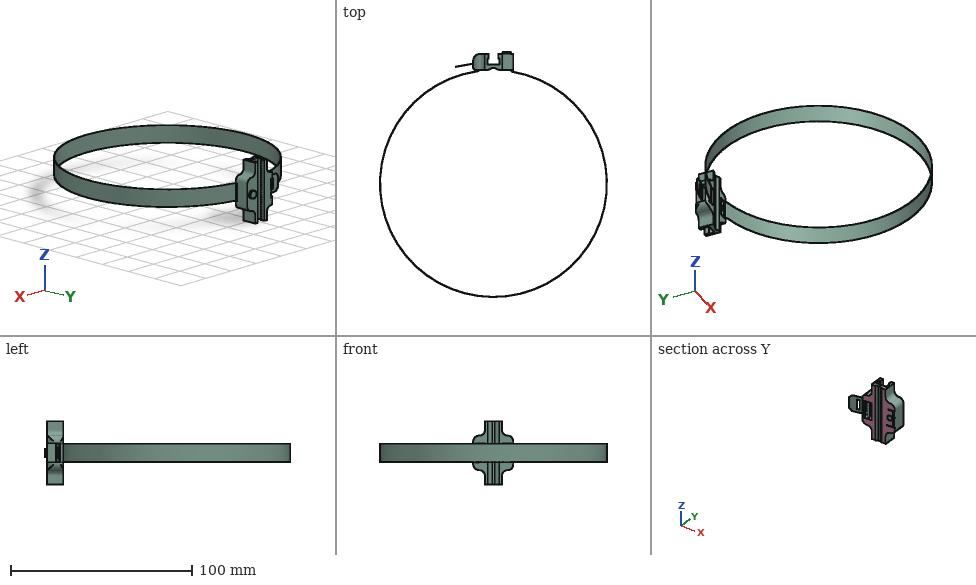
import cadquery as cq
import math

ring_outer_radius = 62.695
strap_thickness = 0.3
strap_width = 10.2
ring_radius = ring_outer_radius - strap_thickness / 2

body_bottom_y = 62.5
body_height_y = 9.0
body_length_z = 35.0
column_half_width = 4.75
body_top_y = body_bottom_y + body_height_y

channel_half_width = 3.25
channel_floor_height = 3.2
lip_gap_half_width = 2.6
lip_bottom_height = 6.4

groove_mouth_half_width = 3.1
groove_top_half_width = 0.6
groove_depth = 1.2

foot_half_length_z = 9.6
web_fillet_radius = 3.0
left_foot_reach = 11.3
left_top_round = 4.0
left_bottom_round = 1.7
right_foot_reach = 10.95

buckle_half_length_z = 5.3
buckle_bar_width = left_bottom_round
buckle_bar_height = 1.6
buckle_roof_height = 4.1
roof_reach = 8.0

fold_radius = 2.25
fold_start_x = -9.1
tail_slope = math.radians(10)
tail_length = 11.15
tail_corner_cut = 1.9
tail_slot_width = 1.65
tail_slot_length = 6.0
tail_slot_pitch = 4.1
tail_slot_count = 2
first_slot_from_end = 5.8

pocket_start_x = 5.1
pocket_end_x = 10.4
pocket_depth = 0.6
pocket_half_length_z = 5.2
bend_radius = 0.55
bend_end_x = 10.4
rivet_x = 7.35
rivet_hole_diameter = 3.2
rivet_shank_diameter = 3.0
rivet_flange_diameter = 4.75
rivet_head_diameter = 4.65
rivet_flange_height = 0.5
overall_length_y = 135.49
rivet_top_y = overall_length_y - ring_outer_radius

pocket_floor_y = body_bottom_y + pocket_depth

fold_angle = math.acos(fold_start_x / ring_radius)
bend_angle = math.acos(bend_end_x / ring_radius)


def box(x_min, x_max, y_min, y_max, length_z):
    """Block centred on Z = 0."""
    return (
        cq.Workplane("XY")
        .box(x_max - x_min, y_max - y_min, length_z)
        .translate(((x_min + x_max) / 2, (y_min + y_max) / 2, 0))
    )


def extrude_profile(points, length_z):
    """Closed polygon in XY, extruded equally to both sides of Z = 0."""
    return cq.Workplane("XY").polyline(points).close().extrude(length_z / 2, both=True)


def y_cylinder(diameter, y_min, y_max):
    """Cylinder along Y on the rivet axis."""
    disc = cq.Workplane("XZ").circle(diameter / 2).extrude(y_min - y_max)
    return disc.translate((rivet_x, y_min, 0))


def curved_band(center, radius, start, end):
    """Strap bent along an arc; start and end are anticlockwise angles from +X."""

    def at(distance, angle):
        x = center[0] + distance * math.cos(angle)
        return (x, center[1] + distance * math.sin(angle))

    outer = radius + strap_thickness / 2
    inner = radius - strap_thickness / 2
    middle = (start + end) / 2
    return (
        cq.Workplane("XY")
        .moveTo(*at(outer, start))
        .threePointArc(at(outer, middle), at(outer, end))
        .lineTo(*at(inner, end))
        .threePointArc(at(inner, middle), at(inner, start))
        .close()
        .extrude(strap_width / 2, both=True)
    )


def foot_outline(reach):
    """Half of the column and one foot seen along Y, on the +X side."""
    web_x = column_half_width + web_fillet_radius
    web_z = foot_half_length_z + web_fillet_radius
    corner_radius = reach - web_x
    corner_z = foot_half_length_z - corner_radius
    web_mid = web_fillet_radius * math.sqrt(0.5)
    corner_mid = corner_radius * math.sqrt(0.5)
    half = (
        cq.Workplane("XZ")
        .lineTo(0, body_length_z / 2)
        .lineTo(column_half_width, body_length_z / 2)
        .lineTo(column_half_width, web_z)
        .threePointArc((web_x - web_mid, web_z - web_mid), (web_x, foot_half_length_z))
        .threePointArc((web_x + corner_mid, corner_z + corner_mid), (reach, corner_z))
        .lineTo(reach, 0)
        .close()
        .extrude(-body_height_y)
        .translate((0, body_bottom_y, 0))
    )
    return half.union(half.mirror("XY"))


def rounded_left_side():
    """Left half of the body seen along Z, with its outer edges rounded."""
    block = box(-left_foot_reach, 0, body_bottom_y, body_top_y, body_length_z)
    block = block.edges("|Z and <X and >Y").fillet(left_top_round)
    return block.edges("|Z and <X and <Y").fillet(left_bottom_round)


def clip_body():
    left = foot_outline(left_foot_reach).mirror("YZ")
    right = foot_outline(right_foot_reach)
    return left.intersect(rounded_left_side()).union(right)


def channel_cut():
    lower = box(
        -channel_half_width, channel_half_width,
        body_bottom_y + channel_floor_height, body_bottom_y + lip_bottom_height, body_length_z,
    )
    mouth = box(
        -lip_gap_half_width, lip_gap_half_width,
        body_bottom_y + lip_bottom_height, body_top_y, body_length_z,
    )
    return lower.union(mouth)


def groove_cut():
    top_y = body_bottom_y + groove_depth
    points = [
        (-groove_mouth_half_width, body_bottom_y),
        (-groove_top_half_width, top_y),
        (groove_top_half_width, top_y),
        (groove_mouth_half_width, body_bottom_y),
    ]
    return extrude_profile(points, body_length_z)


def buckle_cut():
    """Slot from below, a window above the bar and a notch through the foot's top."""
    bar_inner_x = -left_foot_reach + buckle_bar_width
    bar_top_y = body_bottom_y + buckle_bar_height
    roof_y = body_bottom_y + buckle_roof_height
    points = [
        (bar_inner_x, body_bottom_y),
        (-column_half_width, body_bottom_y),
        (-column_half_width, roof_y),
        (-roof_reach, roof_y),
        (-roof_reach, body_top_y),
        (-left_foot_reach, body_top_y),
        (-left_foot_reach, bar_top_y),
        (bar_inner_x, bar_top_y),
    ]
    return extrude_profile(points, 2 * buckle_half_length_z)


def tail():
    """Flat free end with cut corners and slots, lying along -X from the origin."""
    plate = box(-tail_length, 0, -strap_thickness / 2, strap_thickness / 2, strap_width)
    plate = plate.edges("|Y and <X").chamfer(tail_corner_cut)
    for index in range(tail_slot_count):
        slot_x = -tail_length + first_slot_from_end + index * tail_slot_pitch
        plate = plate.cut(
            box(
                slot_x - tail_slot_width / 2, slot_x + tail_slot_width / 2,
                -strap_thickness, strap_thickness, tail_slot_length,
            )
        )
    return plate


def folded_end():
    """Fold round the buckle bar, tangent to the ring, and the tail that leaves it."""
    center_distance = ring_radius + fold_radius
    center_x = center_distance * math.cos(fold_angle)
    center_y = center_distance * math.sin(fold_angle)
    tail_angle = math.pi / 2 + tail_slope
    fold = curved_band((center_x, center_y), fold_radius, fold_angle - math.pi, tail_angle)
    tail_x = center_x + fold_radius * math.cos(tail_angle)
    tail_y = center_y + fold_radius * math.sin(tail_angle)
    sloped_tail = tail().rotate((0, 0, 0), (0, 0, 1), math.degrees(tail_slope))
    return fold.union(sloped_tail.translate((tail_x, tail_y, 0)))


def riveted_end():
    """S-bend of two equal arcs from the ring up to the flat plate on the pocket floor."""
    plate_bottom_y = pocket_floor_y - strap_thickness
    lower_distance = ring_radius + bend_radius
    lower_x = lower_distance * math.cos(bend_angle)
    lower_y = lower_distance * math.sin(bend_angle)
    upper_y = pocket_floor_y - strap_thickness / 2 - bend_radius
    drop = lower_y - upper_y
    upper_x = lower_x - math.sqrt((2 * bend_radius) ** 2 - drop**2)

    meeting_angle = math.atan2(drop, lower_x - upper_x)
    upper = curved_band((upper_x, upper_y), bend_radius, meeting_angle, math.pi / 2)
    lower = curved_band((lower_x, lower_y), bend_radius, math.pi + meeting_angle, math.pi + bend_angle)
    plate = box(pocket_start_x, upper_x, plate_bottom_y, pocket_floor_y, strap_width)
    return plate.union(upper).union(lower)


def strap():
    """Ring with its folded end on the left and its riveted end on the right."""
    ring = curved_band((0, 0), ring_radius, fold_angle, bend_angle + 2 * math.pi)
    return ring.union(folded_end()).union(riveted_end())


def rivet():
    """Shank flush with the pocket floor, with a two-step head on top of the foot."""
    flange_top_y = body_top_y + rivet_flange_height
    shank = y_cylinder(rivet_shank_diameter, pocket_floor_y, body_top_y)
    flange = y_cylinder(rivet_flange_diameter, body_top_y, flange_top_y)
    head = y_cylinder(rivet_head_diameter, flange_top_y, rivet_top_y)
    return shank.union(flange).union(head)


pocket = box(pocket_start_x, pocket_end_x, body_bottom_y, pocket_floor_y, 2 * pocket_half_length_z)
rivet_hole = y_cylinder(rivet_hole_diameter, body_bottom_y, body_top_y)

body = clip_body().cut(channel_cut()).cut(groove_cut()).cut(buckle_cut()).cut(pocket)
result = body.union(strap()).cut(rivet_hole).union(rivet())